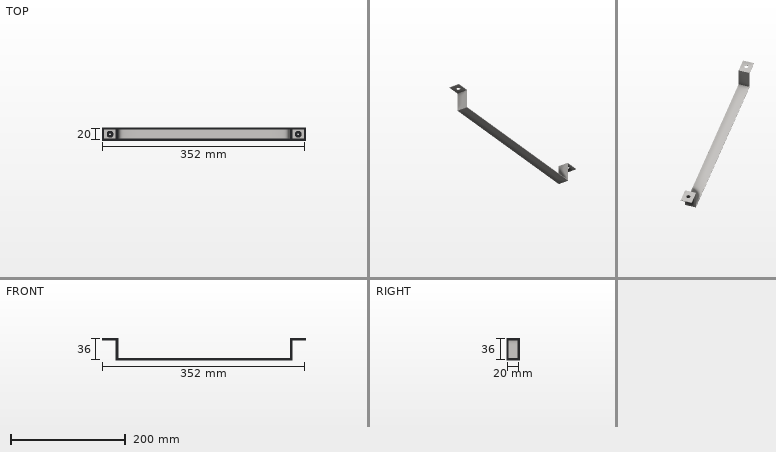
import cadquery as cq

length = 352.0
width = 20.0
height = 36.0
thickness = 1.0

flange_length = 25.0
hole_diameter = 7.0
hole_inset = 12.3

half_length = length / 2
leg_inner_x = half_length - flange_length
leg_outer_x = leg_inner_x + thickness
hole_spacing = length - 2 * hole_inset

half_profile = [
    (0, 0),
    (leg_outer_x, 0),
    (leg_outer_x, height - thickness),
    (half_length, height - thickness),
    (half_length, height),
    (leg_inner_x, height),
    (leg_inner_x, thickness),
    (0, thickness),
]

half_strip = cq.Workplane("XZ").polyline(half_profile).close().extrude(width / 2, both=True)
strip = half_strip.union(half_strip.mirror("YZ")).clean()

holes = (
    cq.Workplane("XY")
    .rarray(hole_spacing, 3.5, 2, 1)
    .circle(hole_diameter / 2)
    .extrude(height)
)

result = strip.cut(holes)